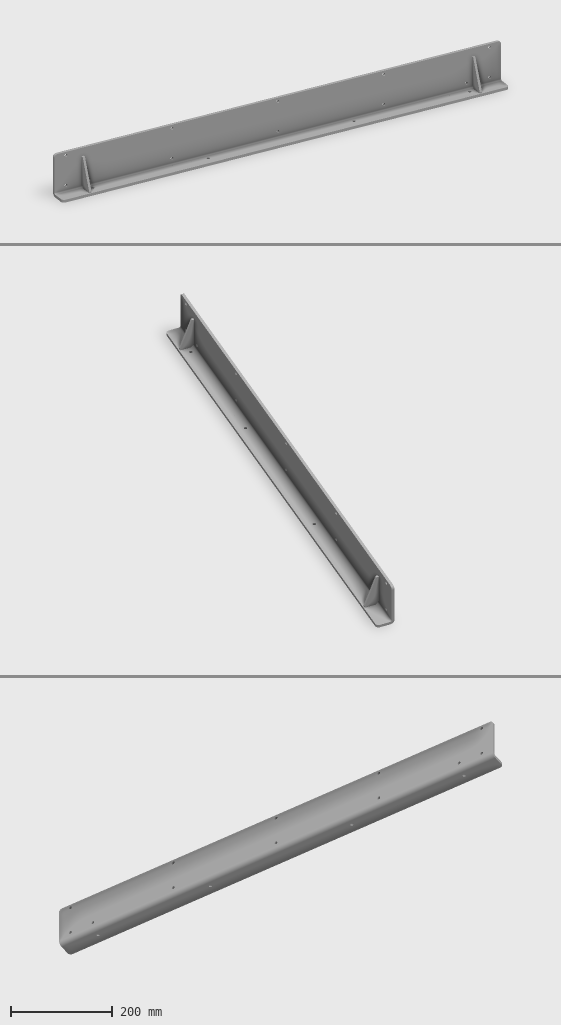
import cadquery as cq

length = 1016.0
width = 39.0
height = 92.0

sheet = 6.0
inner_bend_radius = 3.0
outer_bend_radius = inner_bend_radius + sheet
corner_radius = 7.0

hole_diameter = 6.7
wall_hole_spacing = 241.0
wall_hole_columns = 5
wall_hole_rows = (18.0, 84.0)
extra_wall_hole_offset = 429.0
flange_hole_offsets = (166.0, 429.0)
flange_hole_x = width / 2

gusset_thickness = 5.0
gusset_offset = 444.0
gusset_top = 74.0
gusset_top_width = 5.0
gusset_foot_end = 37.0
gusset_toe_height = 3.0
gusset_corner_cut = 7.0


def make_angle():
    """L-shaped sheet: wall along Z, flange along X, joined by a round bend."""
    profile = (
        cq.Workplane("XZ")
        .moveTo(0, height)
        .lineTo(0, outer_bend_radius)
        .radiusArc((outer_bend_radius, 0), -outer_bend_radius)
        .lineTo(width, 0)
        .lineTo(width, sheet)
        .lineTo(outer_bend_radius, sheet)
        .radiusArc((sheet, outer_bend_radius), inner_bend_radius)
        .lineTo(sheet, height)
        .close()
    )
    body = profile.extrude(length / 2, both=True)

    body = body.faces(">Z").edges("|X").fillet(corner_radius)
    body = body.faces(">X").edges("|Z").fillet(corner_radius)
    return body.cut(wall_holes()).cut(flange_holes())


def wall_holes():
    """Cutters for the holes through the wall."""
    middle_column = (wall_hole_columns - 1) / 2
    points = [
        ((column - middle_column) * wall_hole_spacing, z)
        for column in range(wall_hole_columns)
        for z in wall_hole_rows
    ]
    points += [(side * extra_wall_hole_offset, wall_hole_rows[0]) for side in (-1, 1)]
    return cq.Workplane("YZ").pushPoints(points).circle(hole_diameter / 2).extrude(sheet)


def flange_holes():
    """Cutters for the holes through the flange."""
    points = [(flange_hole_x, side * y) for side in (-1, 1) for y in flange_hole_offsets]
    return cq.Workplane("XY").pushPoints(points).circle(hole_diameter / 2).extrude(sheet)


def make_gusset(y_center):
    """Tapered plate in the angle, with its inner corner cut off to clear the bend."""
    outline = [
        (sheet, sheet + gusset_corner_cut),
        (sheet, gusset_top),
        (sheet + gusset_top_width, gusset_top),
        (gusset_foot_end, sheet + gusset_toe_height),
        (gusset_foot_end, sheet),
        (sheet + gusset_corner_cut, sheet),
    ]
    plate = cq.Workplane("XZ").polyline(outline).close().extrude(gusset_thickness / 2, both=True)
    return plate.translate((0, y_center, 0))


angle = make_angle()
gussets = [make_gusset(side * gusset_offset) for side in (-1, 1)]

result = cq.Compound.makeCompound([angle.val(), *[gusset.val() for gusset in gussets]])